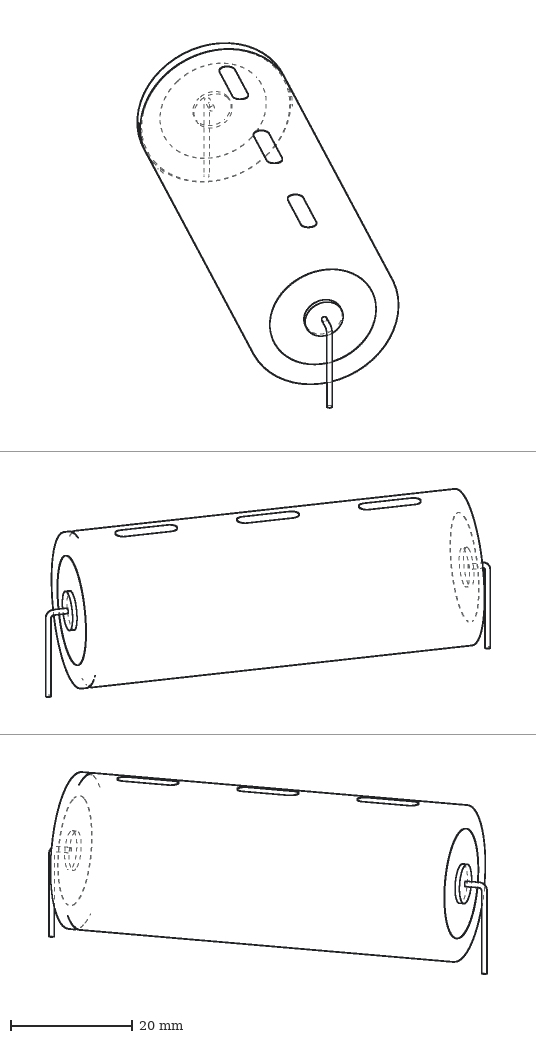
import cadquery as cq

span = 75.9
body_length = 67.1
body_radius = 26.0 / 2
edge_fillet = 0.2

groove_center_x = -31.95
groove_width = 0.9
groove_depth = 0.3
groove_shoulder = 0.15

recess_diameter = 18.2
recess_depth = 0.1

boss_diameter = 6.5
boss_height = 0.7

lead_diameter = 0.9
lead_bend_radius = 0.9
lead_bottom_z = -15.0

pad_count = 3
pad_length = 10.55
pad_width = 2.65
pad_pitch = 20.8
pad_depth = 0.09

half_length = body_length / 2
boss_end = half_length + boss_height


def make_can():
    can = cq.Workplane("YZ").circle(body_radius).extrude(half_length, both=True)
    return can.faces("<X or >X").edges().fillet(edge_fillet)


def make_groove():
    """Ring with a concave arc section, to be cut around the can."""
    section = (
        cq.Workplane("XY")
        .moveTo(groove_center_x - groove_width / 2, body_radius)
        .threePointArc(
            (groove_center_x, body_radius - groove_depth),
            (groove_center_x + groove_width / 2, body_radius),
        )
        .lineTo(groove_center_x + groove_width / 2, body_radius + groove_depth)
        .lineTo(groove_center_x - groove_width / 2, body_radius + groove_depth)
        .close()
    )
    return section.revolve(360, (0, 0, 0), (1, 0, 0))


def round_groove_shoulders(can):
    margin = groove_width / 4
    shoulder_box = cq.selectors.BoxSelector(
        (groove_center_x - groove_width / 2 - margin, -span, -span),
        (groove_center_x + groove_width / 2 + margin, span, span),
        boundingbox=True,
    )
    return can.edges(shoulder_box).edges("%CIRCLE").fillet(groove_shoulder)


def make_pads():
    """Rounded slots whose flat floors lie just below the top of the can."""
    pad_span = (pad_count - 1) * pad_pitch
    centers = [(i * pad_pitch - pad_span / 2, 0) for i in range(pad_count)]
    floor = cq.Workplane("XY").workplane(offset=body_radius - pad_depth)
    return floor.pushPoints(centers).slot2D(pad_length, pad_width).extrude(2 * pad_depth)


def make_recess():
    """End recess for the +X end."""
    floor = cq.Workplane("YZ").workplane(offset=half_length - recess_depth)
    return floor.circle(recess_diameter / 2).extrude(recess_depth)


def make_terminal():
    """Boss and downward-bent lead for the +X end."""
    root_x = half_length - recess_depth
    boss = (
        cq.Workplane("YZ")
        .workplane(offset=root_x)
        .circle(boss_diameter / 2)
        .extrude(boss_end - root_x)
    )
    leg_x = (span - lead_diameter) / 2
    path = (
        cq.Workplane("XZ")
        .moveTo(root_x, 0)
        .lineTo(leg_x - lead_bend_radius, 0)
        .tangentArcPoint((leg_x, -lead_bend_radius), relative=False)
        .lineTo(leg_x, lead_bottom_z)
    )
    lead = cq.Workplane("YZ").workplane(offset=root_x).circle(lead_diameter / 2).sweep(path)
    return boss.union(lead)


def at_both_ends(shape):
    return shape.union(shape.mirror("YZ"))


can = round_groove_shoulders(make_can().cut(make_groove()))
can = can.cut(make_pads()).cut(at_both_ends(make_recess()))
result = can.union(at_both_ends(make_terminal()))